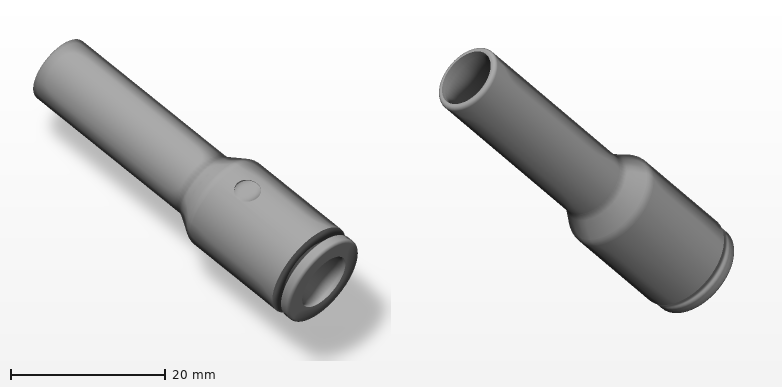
import cadquery as cq
import math

LENGTH = 48.7
TAPER_START = 27.05
BODY_END = 45.95
COLLAR_WIDTH = 1.6

BODY_DIAMETER = 13.5
TUBE_DIAMETER = 9.5
NECK_DIAMETER = 9.2
COLLAR_DIAMETER = 13.0
BORE_DIAMETER = 8.0

TAPER_ANGLE = 30.0
TAPER_BLEND_RADIUS = 2.0
TUBE_END_RADIUS = 0.5
COLLAR_EDGE_RADIUS = 0.4

RECESS_X = 34.75
RECESS_DIAMETER = 3.5
RECESS_DEPTH = 0.3


def disc(diameter, start, end):
    """Solid cylinder on the X axis between two stations."""
    return cq.Workplane("YZ").workplane(offset=start).circle(diameter / 2).extrude(end - start)


def make_shell():
    """Tube that widens through a blended taper into the body."""
    tube_radius = TUBE_DIAMETER / 2
    body_radius = BODY_DIAMETER / 2
    angle = math.radians(TAPER_ANGLE)
    taper_end = TAPER_START + (body_radius - tube_radius) / math.tan(angle)

    tangent = TAPER_BLEND_RADIUS * math.tan(angle / 2)
    along = tangent * math.cos(angle)
    rise = tangent * math.sin(angle)
    half_along = TAPER_BLEND_RADIUS * math.sin(angle / 2)
    half_rise = TAPER_BLEND_RADIUS * (1 - math.cos(angle / 2))

    lower_start = TAPER_START - tangent
    upper_end = taper_end + tangent
    return (
        cq.Workplane("XY")
        .moveTo(0, 0)
        .lineTo(0, tube_radius - TUBE_END_RADIUS)
        .radiusArc((TUBE_END_RADIUS, tube_radius), TUBE_END_RADIUS)
        .lineTo(lower_start, tube_radius)
        .threePointArc(
            (lower_start + half_along, tube_radius + half_rise),
            (TAPER_START + along, tube_radius + rise),
        )
        .lineTo(taper_end - along, body_radius - rise)
        .threePointArc((upper_end - half_along, body_radius - half_rise), (upper_end, body_radius))
        .lineTo(BODY_END, body_radius)
        .lineTo(BODY_END, 0)
        .close()
        .revolve(360, (0, 0, 0), (1, 0, 0))
    )


def make_release_collar():
    """Narrow neck carrying the rounded collar at the +X end."""
    collar_start = LENGTH - COLLAR_WIDTH
    neck = disc(NECK_DIAMETER, BODY_END, LENGTH)
    collar = disc(COLLAR_DIAMETER, collar_start, LENGTH).edges().fillet(COLLAR_EDGE_RADIUS)
    return neck.union(collar)


def make_recess():
    """Flat-bottomed round cutter entering the body from +Z."""
    floor = BODY_DIAMETER / 2 - RECESS_DEPTH
    return (
        cq.Workplane("XY", origin=(RECESS_X, 0, floor))
        .circle(RECESS_DIAMETER / 2)
        .extrude(2 * RECESS_DEPTH)
    )


outer = make_shell().union(make_release_collar())
bore = disc(BORE_DIAMETER, 0, LENGTH)
result = outer.cut(bore).cut(make_recess())